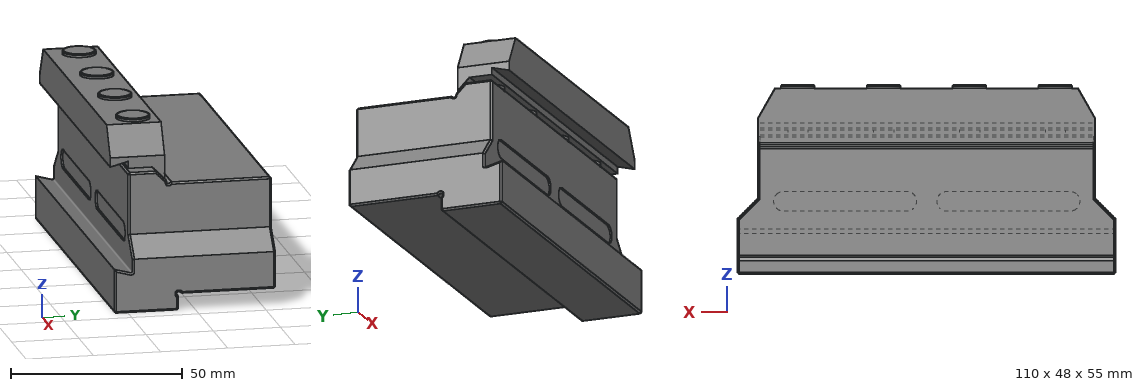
import cadquery as cq
import math

length = 110.0
depth = 48.0
height = 55.0

front_face_y = 5.4
jaw_angle = 15.0
jaw_tip_z = 13.2
foot_depth = 19.1
ledge_z = 5.0
shelf_z = 37.0
nose_z = 40.5
wedge_corner_y = 17.4
foot_relief_radius = 0.5
wedge_relief_radius = 0.4
jaw_fillet = 0.4
edge_chamfer = 0.5

end_step = 5.9
step_low_z = 16.1
step_high_z = step_low_z + end_step
upper_length = length - 2 * end_step

clamp_depth = 16.2
clamp_top_z = 54.0
clamp_foot_z = 41.9
clamp_tip_z = 42.6
clamp_bevel_x = 5.0
clamp_bevel_z = 8.7

screw_count = 4
screw_pitch = 25.0
screw_y = 9.2
shank_diameter = 5.9
shank_embed = 1.1
head_diameter = 9.9
head_chamfer = 0.3

slot_length = 41.6
slot_width = 5.7
slot_depth = 0.5
slot_z = 21.2
slot_centre_x = 23.8

jaw_drop = front_face_y * math.tan(math.radians(jaw_angle))
jaw_root_z = jaw_tip_z - jaw_drop
clamp_root_z = clamp_tip_z + jaw_drop
wedge_sum = wedge_corner_y + shelf_z
tolerance = 0.01


def extrude_along_x(points, total_length):
    """Prism of a (Y, Z) outline, centred on X = 0."""
    return cq.Workplane("YZ").polyline(points).close().extrude(total_length / 2, both=True)


def symmetric_block(right_side):
    """Full-depth block whose (X, Z) outline is the given right side and its mirror image."""
    left_side = [(-x, z) for x, z in reversed(right_side)]
    return cq.Workplane("XZ").polyline(right_side + left_side).close().extrude(-depth)


def relief(y, z, radius):
    """Round corner relief running the full length."""
    return cq.Workplane("YZ").center(y, z).circle(radius).extrude(length, both=True)


def near(value, target):
    return abs(value - target) < tolerance


def is_chamfered(edge):
    """True for the end outlines and the long outer corners of the body."""
    box = edge.BoundingBox()
    centre = box.center
    if box.xlen > length / 2:
        long_corners = [
            (0, 0),
            (foot_depth, 0),
            (depth, ledge_z),
            (depth, shelf_z),
            (front_face_y, nose_z),
        ]
        return any(near(centre.y, y) and near(centre.z, z) for y, z in long_corners)
    is_step_crease = box.ylen > depth / 2 and any(
        near(centre.z, z) for z in (step_low_z, step_high_z)
    )
    return not is_step_crease


def make_body():
    body = extrude_along_x(
        [
            (0, 0),
            (foot_depth, 0),
            (foot_depth, ledge_z),
            (depth, ledge_z),
            (depth, shelf_z),
            (wedge_corner_y, shelf_z),
            (wedge_sum - nose_z, nose_z),
            (front_face_y, nose_z),
            (front_face_y, jaw_root_z),
            (0, jaw_tip_z),
        ],
        length,
    )
    jaw_root = cq.selectors.NearestToPointSelector((0, front_face_y, jaw_root_z))
    body = body.edges("|X").edges(jaw_root).fillet(jaw_fillet)
    body = body.cut(relief(foot_depth, ledge_z, foot_relief_radius))
    body = body.cut(relief(wedge_corner_y, shelf_z, wedge_relief_radius))

    ends = symmetric_block(
        [
            (length / 2, 0),
            (length / 2, step_low_z),
            (upper_length / 2, step_high_z),
            (upper_length / 2, height),
        ],
    )
    body = body.intersect(ends)
    outer_edges = [edge for edge in body.edges().vals() if is_chamfered(edge)]
    return body.newObject(outer_edges).chamfer(edge_chamfer)


def make_slots():
    return (
        cq.Workplane("XZ", origin=(0, front_face_y, slot_z))
        .pushPoints([(-slot_centre_x, 0), (slot_centre_x, 0)])
        .slot2D(slot_length, slot_width)
        .extrude(-slot_depth)
    )


def make_clamp():
    clamp = extrude_along_x(
        [
            (0, clamp_tip_z),
            (front_face_y, clamp_root_z),
            (front_face_y, clamp_foot_z),
            (wedge_sum - clamp_foot_z, clamp_foot_z),
            (clamp_depth, wedge_sum - clamp_depth),
            (clamp_depth, clamp_top_z),
            (0, clamp_top_z),
        ],
        upper_length,
    )
    ends = symmetric_block(
        [
            (upper_length / 2, 0),
            (upper_length / 2, clamp_top_z - clamp_bevel_z),
            (upper_length / 2 - clamp_bevel_x, clamp_top_z),
        ],
    )
    return clamp.intersect(ends)


def make_screw(x):
    shank = (
        cq.Workplane("XY", origin=(x, screw_y, nose_z - shank_embed))
        .circle(shank_diameter / 2)
        .extrude(clamp_top_z - nose_z + shank_embed)
    )
    head = (
        cq.Workplane("XY", origin=(x, screw_y, clamp_top_z))
        .circle(head_diameter / 2)
        .extrude(height - clamp_top_z)
        .faces(">Z")
        .chamfer(head_chamfer)
    )
    return shank.union(head)


result = make_body().cut(make_slots()).union(make_clamp())
for i in range(screw_count):
    result = result.union(make_screw((i - (screw_count - 1) / 2) * screw_pitch))